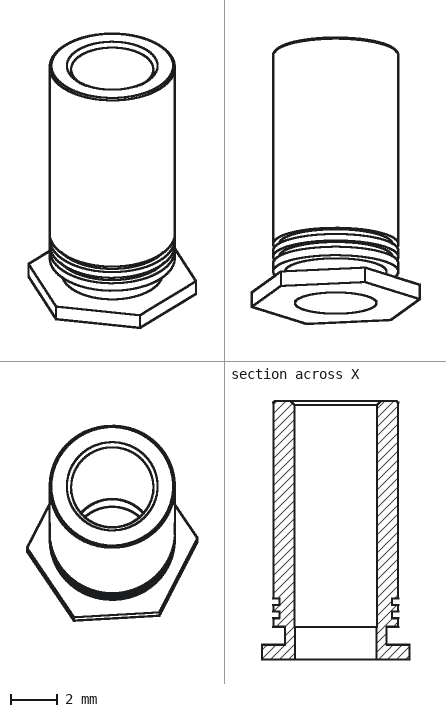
import cadquery as cq
import math

total_height = 11.11
flange_across_flats = 6.35
flange_thickness = 0.64

body_diameter = 5.39
groove_diameter = 4.88
neck_diameter = 4.37
lower_bore_diameter = 3.5
upper_bore_diameter = 3.53
mouth_diameter = 3.9

neck_top = 1.4
lower_groove_bottom = 1.78
upper_groove_bottom = 2.34
groove_width = 0.28

rim_chamfer = 0.08


def cylinder(diameter, bottom, top):
    return cq.Workplane("XY").workplane(offset=bottom).circle(diameter / 2).extrude(top - bottom)


flange_across_corners = flange_across_flats / math.cos(math.pi / 6)
flange = cq.Workplane("XY").polygon(6, flange_across_corners).extrude(flange_thickness)

neck = cylinder(neck_diameter, 0, neck_top)

barrel = cylinder(body_diameter, neck_top, total_height).faces(">Z").edges().chamfer(rim_chamfer)

for groove_bottom in (lower_groove_bottom, upper_groove_bottom):
    groove_top = groove_bottom + groove_width
    groove = cylinder(body_diameter, groove_bottom, groove_top).cut(
        cylinder(groove_diameter, groove_bottom, groove_top)
    )
    barrel = barrel.cut(groove)

lower_bore = cylinder(lower_bore_diameter, 0, neck_top)
upper_bore = cylinder(upper_bore_diameter, neck_top, total_height)
countersink_depth = (mouth_diameter - upper_bore_diameter) / 2
countersink = (
    cq.Workplane("XY")
    .workplane(offset=total_height)
    .circle(mouth_diameter / 2)
    .extrude(-countersink_depth, taper=45)
)

result = flange.union(neck).union(barrel).cut(lower_bore).cut(upper_bore).cut(countersink)